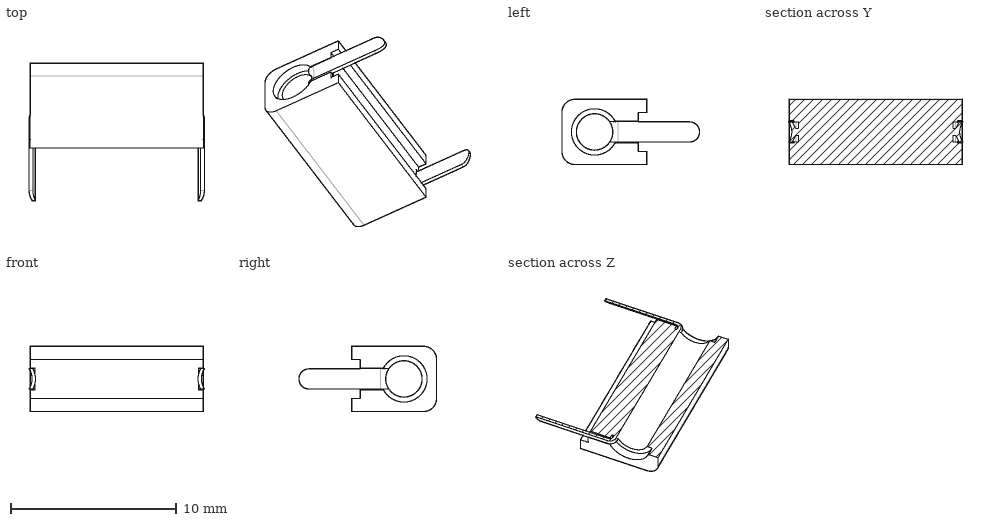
import cadquery as cq
import math

overall_length = 10.63
lead_protrusion = 0.07
body_length = overall_length - 2 * lead_protrusion
body_depth = 5.16
body_height = 3.96
back_corner_radius = 0.8

channel_height = 2.35
channel_depth = 0.52

bore_radius = 1.1
counterbore_radius = 1.4
counterbore_depth = 0.55
back_y = body_height / 2
front_y = back_y - body_depth

lead_width = 1.23
lead_thickness = 0.2
lead_reach = 3.19
bend_radius = 0.31
slot_width = 1.33
slot_depth = 0.29

half_length = overall_length / 2
body_end = body_length / 2
tip_y = front_y - lead_reach
bend_y = -bore_radius - bend_radius
half_width = lead_width / 2
lead_outer_radius = bore_radius + lead_thickness
inner_edge = math.sqrt(bore_radius**2 - half_width**2)
outer_edge = math.sqrt(lead_outer_radius**2 - half_width**2)


def make_body():
    """Block with two rounded back edges, a front channel and a stepped bore."""
    body = cq.Workplane("XY").box(body_length, body_depth, body_height)
    body = body.translate((0, back_y - body_depth / 2, 0))
    body = body.edges("|X and >Y").fillet(back_corner_radius)
    channel = cq.Workplane("XY").box(body_length, channel_depth, channel_height)
    body = body.cut(channel.translate((0, front_y + channel_depth / 2, 0)))
    bore = cq.Workplane("YZ").circle(bore_radius).extrude(body_end, both=True)
    return body.cut(bore)


def make_end_recess():
    """Counterbore and lead slot at the -X end."""
    start = cq.Workplane("YZ", origin=(-body_end, 0, 0))
    counterbore = start.circle(counterbore_radius).circle(bore_radius).extrude(counterbore_depth)
    slot_length = -front_y - bore_radius
    slot = start.center(front_y + slot_length / 2, 0).rect(slot_length, slot_width).extrude(slot_depth)
    return counterbore.union(slot)


def lead_section(plane):
    """Arc-shaped strip; local x is the distance from the centre of curvature."""
    return (
        plane.moveTo(inner_edge, -half_width)
        .threePointArc((bore_radius, 0), (inner_edge, half_width))
        .lineTo(outer_edge, half_width)
        .threePointArc((lead_outer_radius, 0), (outer_edge, -half_width))
        .close()
    )


def make_lead():
    """Lead at the -X end: straight blade, quarter bend, and root in the bore."""
    curve_centre_x = -half_length - inner_edge
    blade_plane = cq.Workplane("XZ", origin=(curve_centre_x, bend_y, 0))
    blade = lead_section(blade_plane).extrude(bend_y - tip_y)

    outline = (
        cq.Workplane("YZ", origin=(-half_length, 0, 0))
        .moveTo(bend_y, -half_width)
        .lineTo(tip_y + half_width, -half_width)
        .threePointArc((tip_y, 0), (tip_y + half_width, half_width))
        .lineTo(bend_y, half_width)
        .close()
        .extrude(lead_outer_radius)
    )
    blade = blade.intersect(outline)

    bend_axis = bore_radius + bend_radius
    bend = lead_section(blade_plane).revolve(90, (bend_axis, 0.11), (bend_axis, 0))

    bend_end_x = curve_centre_x + bend_axis
    root_length = -body_end + counterbore_depth - bend_end_x
    root_plane = cq.Workplane(cq.Plane((bend_end_x, 0, 0), xDir=(0, -1, 0), normal=(1, 0, 0)))
    root = lead_section(root_plane).extrude(root_length)
    return blade.union(bend).union(root)


result = make_body()
recess = make_end_recess()
lead = make_lead()
result = result.cut(recess).cut(recess.mirror("YZ"))
result = result.union(lead).union(lead.mirror("YZ"))